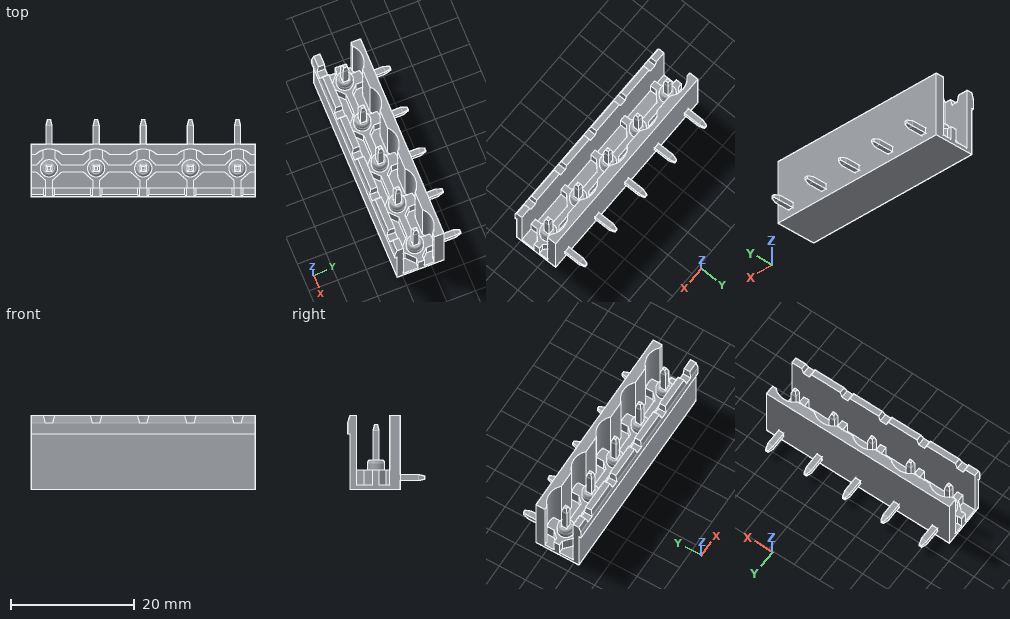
import cadquery as cq


pin_count = 5
pitch = 7.62
length = 36.28
first_pin_x = (length - (pin_count - 1) * pitch) / 2
pin_xs = [first_pin_x + i * pitch for i in range(pin_count)]

depth = 8.15
height = 12.0
front_wall = 1.1
back_wall = 1.7
floor = 0.75
platform_top = 3.2
cavity_back = depth - back_wall

latch_overhang = 0.35
latch_bottom = 9.0
latch_bevel_height = 1.2
latch_shoulder = height - latch_bevel_height

notch_top_width = 1.85
notch_bottom_width = 1.2

pin_width = 1.0
pin_y = 4.25
pin_top = 10.55
tail_z = 1.95
tail_reach = 4.0
tip_length = 1.0
tip_width = 0.5

boss_diameter = 2.8
boss_top = 4.83
boss_fillet = 0.5
scallop_radius = 3.12

rib_y = 4.2
rib_width = 1.1
hub_half_width = 2.05
back_neck_width = 2.0
back_neck_y = 5.85
front_neck_width = 1.1
front_neck_y = 2.3


def make_trough():
    """U-shaped section with the latch rail, extruded along the row."""
    section = [
        (0, 0),
        (depth, 0),
        (depth, height),
        (cavity_back, height),
        (cavity_back, floor),
        (front_wall, floor),
        (front_wall, height),
        (0, height),
        (-latch_overhang, latch_shoulder),
        (-latch_overhang, latch_bottom),
        (0, latch_bottom),
    ]
    return cq.Workplane("YZ").polyline(section).close().extrude(length)


def make_scallop(x):
    """Half cylinder, from the pin backwards, that hollows the back wall around one pin."""
    cylinder = cq.Workplane("XY", origin=(x, pin_y, floor)).circle(scallop_radius).extrude(height)
    back_half = (
        cq.Workplane("XY", origin=(x, pin_y, floor))
        .rect(2 * scallop_radius, scallop_radius, centered=(True, False))
        .extrude(height)
    )
    return cylinder.intersect(back_half)


def make_notch(x):
    """Flared notch through the front wall and latch rail."""
    return (
        cq.Workplane("XZ", origin=(x, front_wall, 0))
        .polyline([
            (-notch_bottom_width / 2, latch_shoulder),
            (notch_bottom_width / 2, latch_shoulder),
            (notch_top_width / 2, height),
            (-notch_top_width / 2, height),
        ])
        .close()
        .extrude(front_wall + latch_overhang)
    )


def make_long_rib():
    """Rib under the row of pins, from end to end of the trough."""
    return (
        cq.Workplane("XY", origin=(0, rib_y, 0))
        .rect(length, rib_width, centered=(False, True))
        .extrude(platform_top)
    )


def make_hub(x):
    """Cross rib from wall to wall that widens around one pin; its back end fills to the scallop."""
    rib_front = rib_y - rib_width / 2
    rib_back = rib_y + rib_width / 2
    scallop_back = pin_y + scallop_radius
    right_side = [
        (front_neck_width / 2, front_wall),
        (front_neck_width / 2, front_neck_y),
        (hub_half_width, rib_front),
        (hub_half_width, rib_back),
        (back_neck_width / 2, back_neck_y),
        (back_neck_width / 2, scallop_back),
    ]
    left_side = [(-dx, y) for dx, y in reversed(right_side)]
    return (
        cq.Workplane("XY", origin=(x, 0, 0))
        .polyline(right_side + left_side)
        .close()
        .extrude(platform_top)
    )


def make_boss(x):
    """Round boss with a rounded top edge, standing on the platform."""
    return (
        cq.Workplane("XY", origin=(x, pin_y, platform_top))
        .circle(boss_diameter / 2)
        .extrude(boss_top - platform_top)
        .faces(">Z")
        .edges()
        .fillet(boss_fillet)
    )


def make_tip(plane):
    """Square pyramid frustum that points along the normal of the given plane."""
    return (
        cq.Workplane(plane)
        .rect(pin_width, pin_width)
        .workplane(offset=tip_length)
        .rect(tip_width, tip_width)
        .loft(ruled=True)
    )


def make_pin(x):
    """Square pin: an upright contact and a tail to the back, both with tapered tips."""
    contact_shoulder = pin_top - tip_length
    tail_shoulder = depth + tail_reach - tip_length
    bend_front = pin_y - pin_width / 2
    bend_bottom = tail_z - pin_width / 2

    contact = (
        cq.Workplane("XY", origin=(x, pin_y, bend_bottom))
        .rect(pin_width, pin_width)
        .extrude(contact_shoulder - bend_bottom)
    )
    tail = (
        cq.Workplane("XZ", origin=(x, bend_front, tail_z))
        .rect(pin_width, pin_width)
        .extrude(bend_front - tail_shoulder)
    )
    contact_tip = make_tip(cq.Plane(origin=(x, pin_y, contact_shoulder), normal=(0, 0, 1)))
    tail_tip = make_tip(
        cq.Plane(origin=(x, tail_shoulder, tail_z), xDir=(1, 0, 0), normal=(0, 1, 0))
    )
    return contact.union(tail).union(contact_tip).union(tail_tip)


pins = [make_pin(x) for x in pin_xs]

housing = make_trough()
for x in pin_xs:
    housing = housing.cut(make_scallop(x)).cut(make_notch(x))
housing = housing.union(make_long_rib())
for x in pin_xs:
    housing = housing.union(make_hub(x)).union(make_boss(x))
for pin in pins:
    housing = housing.cut(pin)

result = cq.Compound.makeCompound([housing.val(), *[pin.val() for pin in pins]])